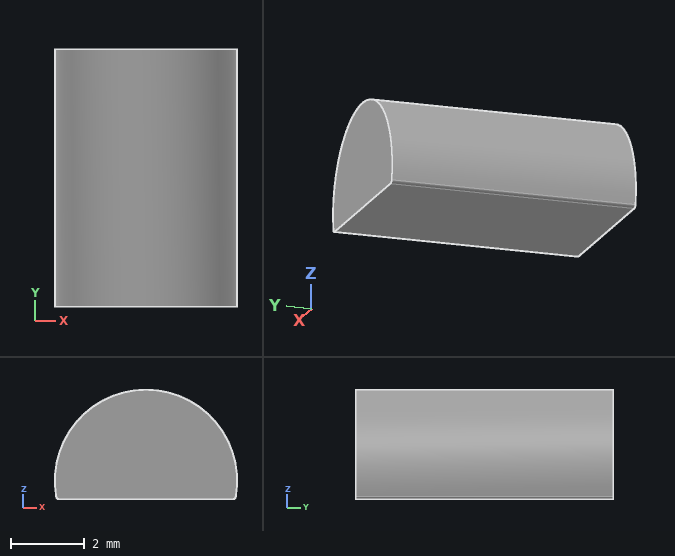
import cadquery as cq

length = 7.0
radius = 2.48
height = 2.98
edge_fillet = 0.1

axis_height = height - radius

bar = cq.Workplane("XZ").center(0, axis_height).circle(radius).extrude(length / 2, both=True)

below_base = cq.Workplane("XY").rect(2 * length, 2 * length).extrude(-2 * radius)
flat_bar = bar.cut(below_base)

result = flat_bar.faces("<Z").edges("|Y").fillet(edge_fillet)